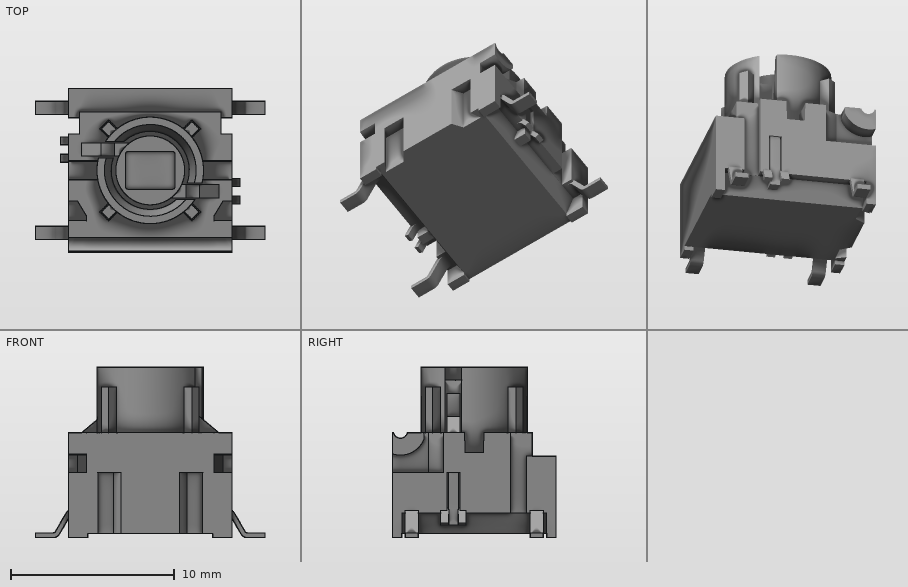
import cadquery as cq
import math

BODY_SIZE = 10.0
HALF = BODY_SIZE / 2
BODY_TOP = 6.4
SIDE_BOTTOM = 1.5
BASE_BOTTOM = 0.25
BACK_TOP = 4.97
BACK_FRONT = 3.2
UPPER_BACK = 3.55

END_WALL = 0.58
FOOT_LENGTH = 1.2
BASE_HALF_TOP = 4.3
BASE_HALF_BOTTOM = HALF - FOOT_LENGTH

NOTCH_FRONT = 2.22
NOTCH_DEPTH = 0.68

SADDLE_HALF_TOP = 0.6
SADDLE_HALF_BOTTOM = 0.55
SADDLE_FLOOR = 5.2

BAR_Y = -4.5
BAR_RADIUS = 1.55
BAR_CENTRE_Z = 6.58
BAR_BACK = -3.07
GROOVE_RADIUS = 0.43
GROOVE_CENTRE_Z = 6.5

POCKET_FLOOR = 3.98
POCKET_BACK = -1.88
POCKET_BEND_Y = -2.79
POCKET_DEPTH_BACK = 0.57
POCKET_DEPTH_FRONT = 1.12

RECESS_OUTER = 3.18
RECESS_UNDERCUT = 0.32
RECESS_INNER = 2.23
RECESS_RAMP_END = 1.77
RECESS_DEPTH = 0.64
RECESS_TOP = 3.98

COLLAR_TOP = 10.4
COLLAR_RADIUS = 3.25
COLLAR_ROOT = 5.0
BORE_TOP_RADIUS = 2.8
BORE_RADIUS = 2.38
CONE_BOTTOM = 8.2
BUTTON_RADIUS = 4.2 / 2
BUTTON_TOP = 9.6
WINDOW_X = 3.02
WINDOW_Y = 2.3
WINDOW_DEPTH = 0.5
WINDOW_CORNER = 0.15

RIB_REACH = 3.9
RIB_WIDTH = 0.63
RIB_TOP = 9.2
RIB_CLEARANCE = 0.07
RIB_POCKET_DEPTH = 0.5

ARM_Y = 1.27
ARM_WIDTH = 0.8
ARM_SLOT_WIDTH = 1.0
ARM_TOE = -4.19
ARM_OUTER = -2.99
ARM_INNER = -2.17
ARM_SHOULDER = 7.4
ARM_TOP = 8.8

TIP_X = -7.0
LEAD_THICKNESS = 0.3
LEAD_WIDTH = 0.82
LEAD_Y = 3.81
LEAD_SLOPE = math.radians(60)
LEAD_BEND_X = -5.9
LOWER_BEND_RADIUS = 0.12
UPPER_BEND_RADIUS = 0.4
LEAD_TOP = 1.8
LEAD_ROOT = -4.1
STUB_WIDTH = 0.5
STUB_PITCH = 1.06
STUB_END_Z = 0.91

POST_Y = ARM_Y
POST_WIDTH = 0.6
POST_OUTER = -4.86
POST_BOTTOM = 0.76
POST_TOP = 3.98
POST_GROOVE_WIDTH = 0.8
POST_GROOVE_DEPTH = 0.45


def box(x0, x1, y0, y1, z0, z1):
    """Block between two opposite corners."""
    return cq.Workplane("XY").box(x1 - x0, y1 - y0, z1 - z0, centered=False).translate((x0, y0, z0))


def cylinder(radius, z0, z1):
    """Upright cylinder on the collar axis."""
    return cq.Workplane("XY").workplane(offset=z0).circle(radius).extrude(z1 - z0)


def bar_along_x(radius, y, z):
    """Round bar across the full housing width."""
    return cq.Workplane("YZ").center(y, z).circle(radius).extrude(HALF, both=True)


def half_turn(shape):
    """The same shape turned 180 degrees about Z."""
    return shape.rotate((0, 0, 0), (0, 0, 1), 180)


def mirror_x(shape):
    """The same shape on the opposite X side."""
    return shape.mirror("YZ")


def make_shell():
    """Upper block, rear step, end walls with feet, and the tapered base."""
    upper = box(-HALF, HALF, -HALF, NOTCH_FRONT, SIDE_BOTTOM, BODY_TOP)
    neck_half = HALF - NOTCH_DEPTH
    neck = box(-neck_half, neck_half, 0, UPPER_BACK, SIDE_BOTTOM, BODY_TOP)
    step = box(-HALF, HALF, BACK_FRONT, HALF, SIDE_BOTTOM, BACK_TOP)
    base = (
        cq.Workplane("XZ")
        .polyline([
            (-BASE_HALF_BOTTOM, BASE_BOTTOM),
            (BASE_HALF_BOTTOM, BASE_BOTTOM),
            (BASE_HALF_TOP, SIDE_BOTTOM),
            (-BASE_HALF_TOP, SIDE_BOTTOM),
        ])
        .close()
        .extrude(HALF - END_WALL, both=True)
    )
    shell = upper.union(neck).union(step).union(base)
    wall_inner = HALF - END_WALL
    for y0, y1 in ((-HALF, -wall_inner), (wall_inner, HALF)):
        wall = box(-HALF, HALF, y0, y1, 0, SIDE_BOTTOM)
        gap = box(-BASE_HALF_BOTTOM, BASE_HALF_BOTTOM, y0, y1, 0, BASE_BOTTOM)
        shell = shell.union(wall.cut(gap))
    return shell


def make_saddle():
    """Tapered slot running across the top along X."""
    return (
        cq.Workplane("YZ")
        .polyline([
            (-SADDLE_HALF_BOTTOM, SADDLE_FLOOR),
            (SADDLE_HALF_BOTTOM, SADDLE_FLOOR),
            (SADDLE_HALF_TOP, BODY_TOP),
            (-SADDLE_HALF_TOP, BODY_TOP),
        ])
        .close()
        .extrude(HALF, both=True)
    )


def make_corner_pocket():
    """Pocket at the -X, -Y corner, leaving the round bar above it."""
    pocket = (
        cq.Workplane("XY")
        .workplane(offset=POCKET_FLOOR)
        .polyline([
            (-HALF, POCKET_BACK),
            (-HALF + POCKET_DEPTH_BACK, POCKET_BACK),
            (-HALF + POCKET_DEPTH_FRONT, POCKET_BEND_Y),
            (-HALF + POCKET_DEPTH_FRONT, -HALF),
            (-HALF, -HALF),
        ])
        .close()
        .extrude(BODY_TOP - POCKET_FLOOR)
    )
    bar = bar_along_x(BAR_RADIUS, BAR_Y, BAR_CENTRE_Z)
    bar = bar.intersect(box(-HALF, HALF, -HALF, BAR_BACK, POCKET_FLOOR, BODY_TOP))
    return pocket.cut(bar)


def make_front_recess():
    """Recess in the front wall with a ramp inside and an undercut outside."""
    return (
        cq.Workplane("XY")
        .workplane(offset=BASE_BOTTOM)
        .polyline([
            (-RECESS_OUTER, -HALF),
            (-RECESS_OUTER - RECESS_UNDERCUT, -HALF + RECESS_DEPTH),
            (-RECESS_INNER, -HALF + RECESS_DEPTH),
            (-RECESS_RAMP_END, -HALF),
        ])
        .close()
        .extrude(RECESS_TOP - BASE_BOTTOM)
    )


def make_housing():
    """Housing with all of its pockets and grooves."""
    housing = make_shell().cut(make_saddle())
    housing = housing.cut(bar_along_x(GROOVE_RADIUS, BAR_Y, GROOVE_CENTRE_Z))
    for cutter in (make_corner_pocket(), make_front_recess()):
        housing = housing.cut(cutter).cut(mirror_x(cutter))
    post_groove = box(
        -HALF, -HALF + POST_GROOVE_DEPTH,
        POST_Y - POST_GROOVE_WIDTH / 2, POST_Y + POST_GROOVE_WIDTH / 2,
        SIDE_BOTTOM, POST_TOP,
    )
    return housing.cut(post_groove).cut(half_turn(post_groove))


def on_diagonals(reach, width, z0, z1):
    """Four radial blocks from the bore wall outward, on the diagonals."""
    block = box(BORE_TOP_RADIUS, reach, -width / 2, width / 2, z0, z1)
    blocks = cq.Workplane("XY")
    for angle in (45, 135, 225, 315):
        blocks = blocks.union(block.rotate((0, 0, 0), (0, 0, 1), angle))
    return blocks


def make_bore():
    """Collar bore: a shallow cone above a straight well."""
    return (
        cq.Workplane("XZ")
        .polyline([
            (0, BODY_TOP),
            (BORE_RADIUS, BODY_TOP),
            (BORE_RADIUS, CONE_BOTTOM),
            (BORE_TOP_RADIUS, COLLAR_TOP),
            (0, COLLAR_TOP),
        ])
        .close()
        .revolve(360, (0, 0, 0), (0, 1, 0))
    )


def make_button():
    """Round button with a rectangular window recess in its top."""
    window = (
        cq.Workplane("XY")
        .workplane(offset=BUTTON_TOP - WINDOW_DEPTH)
        .rect(WINDOW_X, WINDOW_Y)
        .extrude(WINDOW_DEPTH)
        .edges("|Z")
        .fillet(WINDOW_CORNER)
    )
    return cylinder(BUTTON_RADIUS, COLLAR_ROOT, BUTTON_TOP).cut(window)


def make_arm():
    """Contact arm: a sloping toe, a flat shoulder and a tall link to the button."""
    return (
        cq.Workplane("XZ", origin=(0, ARM_Y, 0))
        .polyline([
            (ARM_TOE, BODY_TOP),
            (ARM_OUTER, ARM_SHOULDER),
            (ARM_INNER, ARM_SHOULDER),
            (ARM_INNER, ARM_TOP),
            (0, ARM_TOP),
            (0, BODY_TOP),
        ])
        .close()
        .extrude(ARM_WIDTH / 2, both=True)
    )


def make_lead(y, width):
    """Bent terminal on the -X side: flat foot, 60 degree rise, flat root."""
    sin_s = math.sin(LEAD_SLOPE)
    cos_s = math.cos(LEAD_SLOPE)
    sin_h = math.sin(LEAD_SLOPE / 2)
    cos_h = math.cos(LEAD_SLOPE / 2)
    r_low_in = LOWER_BEND_RADIUS
    r_low_out = r_low_in + LEAD_THICKNESS
    r_up_in = UPPER_BEND_RADIUS
    r_up_out = r_up_in + LEAD_THICKNESS
    low_x = LEAD_BEND_X
    low_z = r_low_out
    up_z = LEAD_TOP - r_up_out
    rise_start_x = low_x + r_low_in * sin_s
    rise_start_z = low_z - r_low_in * cos_s
    rise_end_z = up_z + r_up_out * cos_s
    rise_end_x = rise_start_x + (rise_end_z - rise_start_z) / math.tan(LEAD_SLOPE)
    up_x = rise_end_x + r_up_out * sin_s
    return (
        cq.Workplane("XZ", origin=(0, y, 0))
        .moveTo(TIP_X, 0)
        .lineTo(TIP_X, LEAD_THICKNESS)
        .lineTo(low_x, LEAD_THICKNESS)
        .threePointArc((low_x + r_low_in * sin_h, low_z - r_low_in * cos_h), (rise_start_x, rise_start_z))
        .lineTo(rise_end_x, rise_end_z)
        .threePointArc((up_x - r_up_out * sin_h, up_z + r_up_out * cos_h), (up_x, LEAD_TOP))
        .lineTo(LEAD_ROOT, LEAD_TOP)
        .lineTo(LEAD_ROOT, LEAD_TOP - LEAD_THICKNESS)
        .lineTo(up_x, LEAD_TOP - LEAD_THICKNESS)
        .threePointArc(
            (up_x - r_up_in * sin_h, up_z + r_up_in * cos_h),
            (up_x - r_up_in * sin_s, up_z + r_up_in * cos_s),
        )
        .lineTo(low_x + r_low_out * sin_s, low_z - r_low_out * cos_s)
        .threePointArc((low_x + r_low_out * sin_h, low_z - r_low_out * cos_h), (low_x, 0))
        .close()
        .extrude(width / 2, both=True)
    )


def make_stub(y):
    """Short lead: the bent terminal cut off square across its rise."""
    rise_start_x = LEAD_BEND_X + LOWER_BEND_RADIUS * math.sin(LEAD_SLOPE)
    rise_start_z = LEAD_THICKNESS + LOWER_BEND_RADIUS * (1 - math.cos(LEAD_SLOPE))
    end_x = rise_start_x + (STUB_END_Z - rise_start_z) / math.tan(LEAD_SLOPE)
    reach = BODY_SIZE
    keep = (
        box(0, reach, y - STUB_WIDTH, y + STUB_WIDTH, -reach, reach)
        .rotate((0, 0, 0), (0, 1, 0), -math.degrees(LEAD_SLOPE))
        .translate((end_x, 0, STUB_END_Z))
    )
    return make_lead(y, STUB_WIDTH).intersect(keep)


def make_side_contacts():
    """Everything metallic on the -X side: two leads, two stubs and the post."""
    contacts = box(
        POST_OUTER, LEAD_ROOT,
        POST_Y - POST_WIDTH / 2, POST_Y + POST_WIDTH / 2,
        POST_BOTTOM, POST_TOP,
    )
    for side in (-1, 1):
        contacts = contacts.union(make_lead(side * LEAD_Y, LEAD_WIDTH))
        contacts = contacts.union(make_stub(POST_Y + side * STUB_PITCH / 2))
    return contacts


def make_part():
    """Housing, collar, button, arms and terminals joined into one solid."""
    rib_pocket_floor = BODY_TOP - RIB_POCKET_DEPTH
    rib_pockets = on_diagonals(
        RIB_REACH + RIB_CLEARANCE, RIB_WIDTH + 2 * RIB_CLEARANCE, rib_pocket_floor, BODY_TOP
    )
    part = make_housing().cut(rib_pockets)
    part = part.union(cylinder(COLLAR_RADIUS, COLLAR_ROOT, COLLAR_TOP))
    part = part.union(on_diagonals(RIB_REACH, RIB_WIDTH, rib_pocket_floor, RIB_TOP))
    part = part.cut(make_bore())
    slot = box(
        -COLLAR_RADIUS, ARM_INNER / 2,
        ARM_Y - ARM_SLOT_WIDTH / 2, ARM_Y + ARM_SLOT_WIDTH / 2,
        BODY_TOP, COLLAR_TOP,
    )
    part = part.cut(slot).cut(half_turn(slot)).union(make_button())
    for feature in (make_arm(), make_side_contacts()):
        part = part.union(feature).union(half_turn(feature))
    return part


result = make_part()